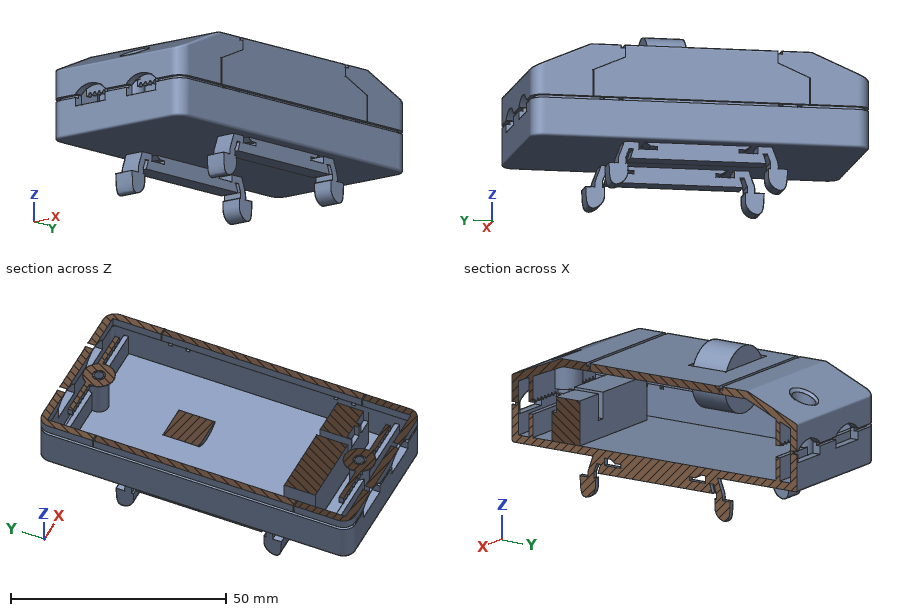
import cadquery as cq
import math

LENGTH = 80.0
WIDTH = 40.2
WALL = 2.0
CORNER_RADIUS = 3.0
EDGE_RADIUS = 0.6
BASE_TOP = 9.0
PARTING_GAP = 0.7
LIP_INSET = WALL / 2
COVER_BOTTOM = BASE_TOP + PARTING_GAP
COVER_TOP = 22.2

CREASE_Y = 26.1
CREASE_RADIUS = 1.1
SLOPE_END_Z = 16.3
SLOPE_ANGLE = math.atan2(COVER_TOP - SLOPE_END_Z, LENGTH / 2 - CREASE_Y)

SEAM_TOP_Y = 18.1
SEAM_BEND_Z = 19.3
SEAM_BOTTOM_Y = 25.5
SEAM_SHOULDER_Z = 16.1
SEAM_CLEARANCE = 0.2
GROOVE_WIDTH = 0.95
GROOVE_DEPTH = 0.8

LIP_NOTCH_YS = (18.9, 23.35)
LIP_NOTCH_WIDTH = 0.95

SCREW_Y = 33.3
SCREW_WELL_DIAMETER = 5.6
WELL_RIM_CHAMFER = 0.6
SCREW_TUBE_DIAMETER = 7.6
SCREW_HOLE_DIAMETER = 2.95
SCREW_SEAT_THICKNESS = 1.2
PILLAR_DIAMETER = 4.7
PILLAR_TOP = 11.75
PILOT_DIAMETER = 2.2
PILOT_DEPTH = 6.4
PILOT_TIP_DIAMETER = 0.95

OPENING_X = 7.8
OPENING_WIDTH = 9.0
OPENING_BOTTOM = 7.0
OPENING_SHOULDER = 9.9
OPENING_PEAK = 11.8
RIB_INNER_Y = 34.0
RIB_THICKNESS = 1.2
RIB_OUTER_Y = RIB_INNER_Y + RIB_THICKNESS
RIB_OVERLAP = 0.8
UPPER_RIB_WIDTH = OPENING_WIDTH + 2 * RIB_OVERLAP
LOWER_RIB_WIDTH = WIDTH - 2 * WALL
LOWER_RIB_TOP = 7.6
TOOTH_TIP_Z = 10.2
TOOTH_HEIGHT = 0.8
TOOTH_PITCH = 1.4
TOOTH_GROOVES_PER_SIDE = 3

WHEEL_X = -7.1
WHEEL_Y = 7.0
WHEEL_RADIUS = 8.1
WHEEL_THICKNESS = 9.3
WHEEL_TOP = 26.55
WINDOW_LENGTH_X = 16.95
WINDOW_LENGTH_Y = 10.4

CLIP_X = 14.15
CLIP_WIDTH = 5.0
CLIP_CENTRE_Y = 0.15
CLIP_FOOT_Z = -10.15
CLIP_SHOULDER_Z = -5.1
CLIP_BRIDGE_Z = -3.9
CLIP_SLOT_Z = -1.7

BLOCK_WIDTH = 29.75
BLOCK_Y_MIN = -28.8
BLOCK_Y_MAX = -20.8
BLOCK_PLATE_TOP = 6.4
BLOCK_TOP = 12.8
BLOCK_SLOT_X_MIN = 3.35
BLOCK_SLOT_X_MAX = 5.2
POCKET_X_MINS = (5.6, 10.7)
POCKET_WIDTH = 4.0
POCKET_BOTTOM = 9.0
POCKET_DEPTH = 1.2

ENDS = (-1, 1)
SIDES = (-1, 1)


def box(x_min, x_max, y_min, y_max, z_min, z_max):
    """Axis-aligned block between opposite corners."""
    size = (x_max - x_min, y_max - y_min, z_max - z_min)
    return cq.Workplane("XY").box(*size, centered=False).translate((x_min, y_min, z_min))


def outline_block(inset, z_min, z_max):
    """Rounded rectangle of the enclosure, drawn in by an inset."""
    return (
        cq.Workplane("XY", origin=(0, 0, z_min))
        .rect(WIDTH - 2 * inset, LENGTH - 2 * inset)
        .extrude(z_max - z_min)
        .edges("|Z")
        .fillet(CORNER_RADIUS - inset)
    )


def side_prism(points, width):
    """Profile of (y, z) points extruded symmetrically along X."""
    return cq.Workplane("YZ", origin=(-width / 2, 0, 0)).polyline(points).close().extrude(width)


def mirrored_loop(points):
    """Closed symmetric outline from its half at positive y."""
    return points + [(-y, z) for y, z in reversed(points)]


def drum(diameter, y, z_min, z_max):
    """Upright cylinder on the long centre line."""
    return cq.Workplane("XY", origin=(0, y, z_min)).circle(diameter / 2).extrude(z_max - z_min)


def clip_half():
    """One sprung leg and half the bridge of a clip, from its middle to the +Y foot."""
    return (
        cq.Workplane("YZ")
        .moveTo(0, 0)
        .lineTo(12.55, 0)
        .lineTo(11.2, -0.9)
        .lineTo(9.7, -0.9)
        .lineTo(9.7, CLIP_SLOT_Z)
        .lineTo(14.1, CLIP_SLOT_Z)
        .lineTo(14.1, 0)
        .lineTo(17.5, 0)
        .spline([(18.3, -2.15), (18.9, -4.0), (18.9, CLIP_SHOULDER_Z)], includeCurrent=True)
        .lineTo(21.1, CLIP_SHOULDER_Z)
        .spline(
            [(20.95, -8.0), (20.55, -9.5), (19.35, CLIP_FOOT_Z)],
            tangents=[(-0.05, -1), (-1, 0)],
            includeCurrent=True,
        )
        .threePointArc((17.35, -9.0), (16.6, -7.2))
        .lineTo(16.6, CLIP_SHOULDER_Z)
        .lineTo(17.1, CLIP_SHOULDER_Z)
        .lineTo(17.1, -3.7)
        .lineTo(16.3, CLIP_SLOT_Z)
        .lineTo(15.35, CLIP_SLOT_Z)
        .lineTo(16.1, CLIP_BRIDGE_Z)
        .lineTo(0, CLIP_BRIDGE_Z)
        .close()
        .extrude(CLIP_WIDTH)
    )


def make_clip(x):
    half = clip_half()
    return half.union(half.mirror("XZ")).translate((x - CLIP_WIDTH / 2, CLIP_CENTRE_Y, 0))


def pilot_hole(y):
    """Blind hole with a conical bottom, entering a pillar from above."""
    cone_length = (PILOT_DIAMETER - PILOT_TIP_DIAMETER) / 2
    bottom = PILLAR_TOP - PILOT_DEPTH
    return (
        cq.Workplane("XZ", origin=(0, y, 0))
        .moveTo(0, PILLAR_TOP)
        .lineTo(PILOT_DIAMETER / 2, PILLAR_TOP)
        .lineTo(PILOT_DIAMETER / 2, bottom)
        .lineTo(PILOT_TIP_DIAMETER / 2, bottom - cone_length)
        .lineTo(0, bottom - cone_length)
        .close()
        .revolve(360, (0, 0), (0, 1))
    )


def end_band(end, inner, outer):
    """Range of y between two distances from the middle, at the chosen end."""
    return sorted((end * inner, end * outer))


def make_base():
    base = outline_block(0, 0, BASE_TOP).faces("<Z").edges().fillet(EDGE_RADIUS)
    lip = outline_block(LIP_INSET, WALL, COVER_BOTTOM)
    for end in ENDS:
        for notch_y in LIP_NOTCH_YS:
            y_min, y_max = end_band(end, notch_y - LIP_NOTCH_WIDTH / 2, notch_y + LIP_NOTCH_WIDTH / 2)
            lip = lip.cut(box(-WIDTH / 2, WIDTH / 2, y_min, y_max, BASE_TOP, COVER_BOTTOM))
    base = base.union(lip).cut(outline_block(WALL, WALL, COVER_BOTTOM))

    for end in ENDS:
        wall_band = end_band(end, LENGTH / 2 - WALL, LENGTH / 2)
        rib_band = end_band(end, RIB_INNER_Y, RIB_OUTER_Y)
        for side in SIDES:
            x = side * OPENING_X
            opening_x = (x - OPENING_WIDTH / 2, x + OPENING_WIDTH / 2)
            base = base.cut(box(*opening_x, *wall_band, OPENING_BOTTOM, COVER_BOTTOM))
        half_rib = LOWER_RIB_WIDTH / 2
        base = base.union(box(-half_rib, half_rib, *rib_band, WALL, LOWER_RIB_TOP))
        base = base.union(drum(PILLAR_DIAMETER, end * SCREW_Y, WALL, PILLAR_TOP))
        base = base.cut(pilot_hole(end * SCREW_Y))

    for side in SIDES:
        base = base.union(make_clip(side * CLIP_X))
    return base


def cover_profile(inset):
    """Long-side outline of the cover, with roof, slopes and ends drawn in by an inset."""
    end_y = LENGTH / 2 - inset
    roof_z = COVER_TOP - inset
    crease_y = CREASE_Y - inset * math.tan(SLOPE_ANGLE / 2)
    end_z = roof_z - (end_y - crease_y) * math.tan(SLOPE_ANGLE)
    return mirrored_loop([(end_y, COVER_BOTTOM), (end_y, end_z), (crease_y, roof_z)])


def cover_block():
    """Outside of all the covers together, with rounded edges."""
    block = side_prism(cover_profile(0), WIDTH).edges("|Z").fillet(CORNER_RADIUS)
    block = block.faces(">Z").edges("|X").fillet(CREASE_RADIUS)
    return block.faces(">Z").edges("|Y").fillet(EDGE_RADIUS)


def upper_rib(x, end):
    """Strain-relief rib hanging from the roof, its lower edge cut into teeth."""
    y_min, y_max = end_band(end, RIB_INNER_Y, RIB_OUTER_Y)
    rib = box(x - UPPER_RIB_WIDTH / 2, x + UPPER_RIB_WIDTH / 2, y_min, y_max, TOOTH_TIP_Z, COVER_TOP)
    for index in range(-TOOTH_GROOVES_PER_SIDE, TOOTH_GROOVES_PER_SIDE + 1):
        root_x = x + index * TOOTH_PITCH
        tooth_gap = (
            cq.Workplane("XZ", origin=(0, y_max, 0))
            .moveTo(root_x - TOOTH_PITCH / 2, TOOTH_TIP_Z)
            .lineTo(root_x, TOOTH_TIP_Z + TOOTH_HEIGHT)
            .lineTo(root_x + TOOTH_PITCH / 2, TOOTH_TIP_Z)
            .close()
            .extrude(RIB_THICKNESS)
        )
        rib = rib.cut(tooth_gap)
    return rib


def arched_opening(x, end):
    """Arched cable opening through the end wall of a cover."""
    y_max = max(end_band(end, LENGTH / 2 - WALL, LENGTH / 2))
    half = OPENING_WIDTH / 2
    return (
        cq.Workplane("XZ", origin=(0, y_max, 0))
        .moveTo(x - half, COVER_BOTTOM)
        .lineTo(x - half, OPENING_SHOULDER)
        .threePointArc((x, OPENING_PEAK), (x + half, OPENING_SHOULDER))
        .lineTo(x + half, COVER_BOTTOM)
        .close()
        .extrude(WALL)
    )


def cover_cavity():
    """Hollow inside the covers, leaving the screw tubes and strain-relief ribs standing."""
    cavity = side_prism(cover_profile(WALL), WIDTH - 2 * WALL)
    for end in ENDS:
        cavity = cavity.cut(drum(SCREW_TUBE_DIAMETER, end * SCREW_Y, PILLAR_TOP, COVER_TOP))
        for side in SIDES:
            cavity = cavity.cut(upper_rib(side * OPENING_X, end))
    return cavity


def cover_shell():
    """All the covers as one hollow shell, before it is divided at the seams."""
    shell = cover_block()
    for end in ENDS:
        y = end * SCREW_Y
        shell = shell.cut(drum(SCREW_WELL_DIAMETER, y, PILLAR_TOP + SCREW_SEAT_THICKNESS, COVER_TOP))
    well_rims = cq.selectors.BoxSelector(
        (-SCREW_WELL_DIAMETER, -LENGTH, SLOPE_END_Z), (SCREW_WELL_DIAMETER, LENGTH, COVER_TOP)
    )
    shell = shell.edges("not %LINE").edges(well_rims).chamfer(WELL_RIM_CHAMFER)
    shell = shell.cut(cover_cavity())
    for end in ENDS:
        shell = shell.cut(drum(SCREW_HOLE_DIAMETER, end * SCREW_Y, PILLAR_TOP, COVER_TOP))
        for side in SIDES:
            shell = shell.cut(arched_opening(side * OPENING_X, end))
    return shell


def centre_zone(clearance):
    """Region of the centre cover, its lower skirts widened by a clearance."""
    skirt_y = SEAM_BOTTOM_Y + clearance
    half = [
        (skirt_y, 0),
        (skirt_y, SEAM_SHOULDER_Z),
        (SEAM_BOTTOM_Y, SEAM_SHOULDER_Z),
        (SEAM_TOP_Y, SEAM_BEND_Z),
        (SEAM_TOP_Y, WHEEL_TOP),
    ]
    if clearance == 0:
        half.pop(1)
    return side_prism(mirrored_loop(half), 2 * WIDTH)


def make_centre_cover(shell):
    half_x = WINDOW_LENGTH_X / 2
    half_y = WINDOW_LENGTH_Y / 2
    window = box(
        WHEEL_X - half_x, WHEEL_X + half_x, WHEEL_Y - half_y, WHEEL_Y + half_y, COVER_TOP - WALL, COVER_TOP
    )
    return shell.intersect(centre_zone(0)).cut(window)


def make_end_cover(shell, end):
    end_half = box(-WIDTH, WIDTH, *end_band(end, 0, LENGTH), 0, WHEEL_TOP)
    groove_band = end_band(end, SEAM_TOP_Y, SEAM_TOP_Y + GROOVE_WIDTH)
    groove = box(-WIDTH, WIDTH, *groove_band, COVER_TOP - GROOVE_DEPTH, COVER_TOP)
    return shell.intersect(end_half).cut(centre_zone(SEAM_CLEARANCE)).cut(groove)


def make_thumbwheel():
    return (
        cq.Workplane("XZ", origin=(WHEEL_X, WHEEL_Y + WHEEL_THICKNESS / 2, WHEEL_TOP - WHEEL_RADIUS))
        .circle(WHEEL_RADIUS)
        .extrude(WHEEL_THICKNESS)
    )


def make_terminal_block():
    half = BLOCK_WIDTH / 2
    block = box(-half, half, BLOCK_Y_MIN, BLOCK_Y_MAX, WALL, BLOCK_TOP)
    slot = box(BLOCK_SLOT_X_MIN, BLOCK_SLOT_X_MAX, BLOCK_Y_MIN, BLOCK_Y_MAX, BLOCK_PLATE_TOP, BLOCK_TOP)
    block = block.cut(slot)
    for x_min in POCKET_X_MINS:
        x_max = x_min + POCKET_WIDTH
        y_max = BLOCK_Y_MIN + POCKET_DEPTH
        block = block.cut(box(x_min, x_max, BLOCK_Y_MIN, y_max, POCKET_BOTTOM, BLOCK_TOP))
    return block


base = make_base()
shell = cover_shell()
centre_cover = make_centre_cover(shell)
end_covers = [make_end_cover(shell, end) for end in ENDS]
thumbwheel = make_thumbwheel()
terminal_block = make_terminal_block()

result = cq.Compound.makeCompound(
    [
        base.val(),
        centre_cover.val(),
        *[cover.val() for cover in end_covers],
        thumbwheel.val(),
        terminal_block.val(),
    ]
)